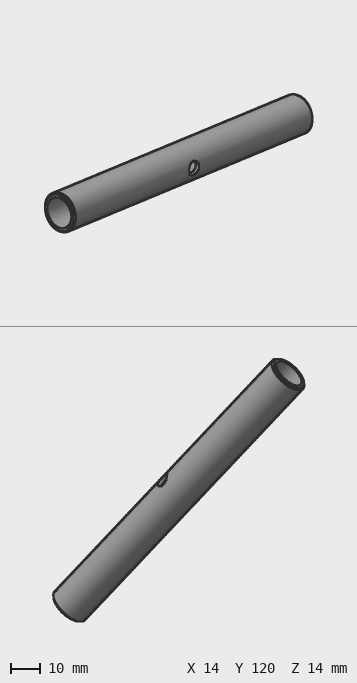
import cadquery as cq

length = 120.0
outer_diameter = 14.0
bore_diameter = 10.9
cross_hole_diameter = 5.0
end_chamfer = 0.54


def make_tube():
    """Straight tube with chamfered outer rims and a cross hole through both walls along X."""
    rod = (
        cq.Workplane("XZ")
        .circle(outer_diameter / 2)
        .extrude(length / 2, both=True)
        .faces("<Y or >Y")
        .chamfer(end_chamfer)
    )
    bore = cq.Workplane("XZ").circle(bore_diameter / 2).extrude(length / 2, both=True)
    cross_hole = (
        cq.Workplane("YZ")
        .circle(cross_hole_diameter / 2)
        .extrude(outer_diameter, both=True)
    )
    return rod.cut(bore).cut(cross_hole)


tube = make_tube()
result = cq.Compound.makeCompound([tube.val()])